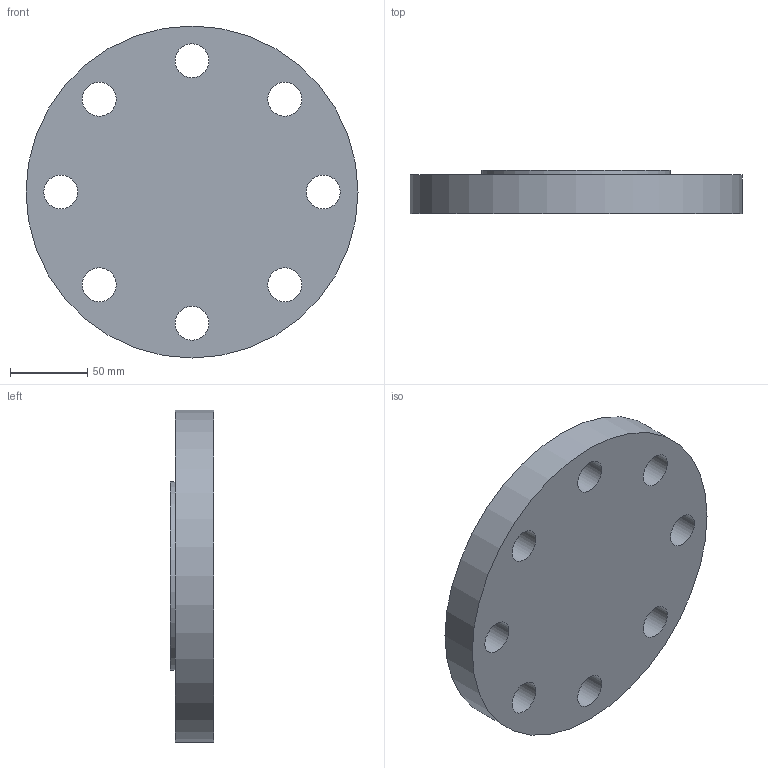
import cadquery as cq

flange_diameter = 215.0
flange_thickness = 25.0
raised_face_diameter = 122.0
raised_face_height = 3.0
bolt_circle_diameter = 170.0
bolt_hole_diameter = 22.0
bolt_hole_count = 8


def disc(diameter, start_y, length):
    """Solid cylinder about the Y axis, growing toward +Y from start_y."""
    plane = cq.Plane(origin=(0, start_y, 0), xDir=(1, 0, 0), normal=(0, 1, 0))
    return cq.Workplane(plane).circle(diameter / 2).extrude(length)


def bolt_holes():
    """Ring of through-hole cutters, with holes on the X and Z axes."""
    plane = cq.Plane(origin=(0, 0, 0), xDir=(1, 0, 0), normal=(0, 1, 0))
    return (
        cq.Workplane(plane)
        .polarArray(bolt_circle_diameter / 2, 0, 360, bolt_hole_count)
        .circle(bolt_hole_diameter / 2)
        .extrude(flange_thickness)
    )


flange = disc(flange_diameter, 0, flange_thickness)
raised_face = disc(raised_face_diameter, flange_thickness, raised_face_height)

result = flange.union(raised_face).cut(bolt_holes())